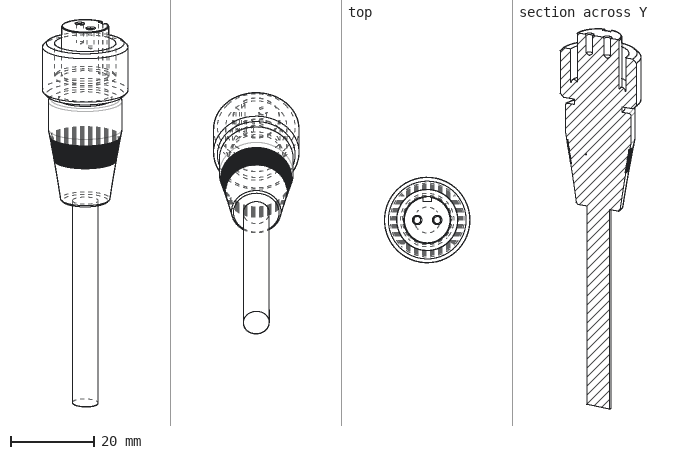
import cadquery as cq
import math

total_height = 94.4

cable_diameter = 6.2
cable_end_slant = 0.3

boot_bottom_z = 50.7
boot_bottom_radius = 5.95
boot_end_chamfer = 0.5
boot_side_sag = 0.1
boot_end_height = boot_bottom_z + boot_end_chamfer

barrel_diameter = 17.8
barrel_bottom_z = 68.6
barrel_top_z = 76.1
barrel_top_fillet = 0.6

grip_top_z = 66.8
grip_groove_count = 11
grip_pitch = 0.6
grip_groove_width = 0.3
grip_groove_depth = 0.2

neck_diameter = 12.8

nut_diameter = 20.6
nut_top_z = 90.1
nut_height = 12.75
nut_chamfer = 0.9
nut_bottom_z = nut_top_z - nut_height
bore_diameter = 14.7
bore_depth = 8.5
bore_floor_z = nut_top_z - bore_depth

nose_diameter = 11.3
nose_chamfer = 0.2
key_slot_width = 2.1
key_slot_floor_y = 4.4

seal_outer_diameter = 14.6

socket_spacing = 4.8
socket_mouth_diameter = 2.3
socket_diameter = 1.7
socket_chamfer = (socket_mouth_diameter - socket_diameter) / 2
socket_depth = 4.7
socket_tip_angle = 118.0


def disc(diameter, bottom_z, top_z):
    return cq.Workplane("XY").workplane(offset=bottom_z).circle(diameter / 2).extrude(top_z - bottom_z)


def revolve_about_z(profile):
    return profile.close().revolve(360, (0, 0, 0), (0, 1, 0))


def make_cable():
    cable = disc(cable_diameter, 0, bore_floor_z)
    radius = cable_diameter / 2
    slant_wedge = (
        cq.Workplane("XZ")
        .polyline([(-radius, 0), (radius, 0), (-radius, cable_end_slant)])
        .close()
        .extrude(radius, both=True)
    )
    return cable.cut(slant_wedge)


def boot_chord_radius(z):
    """Radius of the straight taper between the two ends of the boot side."""
    along = (z - boot_end_height) / (barrel_bottom_z - boot_end_height)
    return boot_bottom_radius + along * (barrel_diameter / 2 - boot_bottom_radius)


def make_boot():
    middle_z = (boot_end_height + barrel_bottom_z) / 2
    return revolve_about_z(
        cq.Workplane("XZ")
        .moveTo(0, boot_bottom_z)
        .lineTo(boot_bottom_radius - boot_end_chamfer, boot_bottom_z)
        .lineTo(boot_bottom_radius, boot_end_height)
        .threePointArc(
            (boot_chord_radius(middle_z) - boot_side_sag, middle_z),
            (barrel_diameter / 2, barrel_bottom_z),
        )
        .lineTo(0, barrel_bottom_z)
    )


def cut_grip_grooves(boot):
    for index in range(grip_groove_count):
        top_z = grip_top_z - index * grip_pitch
        bottom_z = top_z - grip_groove_width
        floor_radius = boot_chord_radius(bottom_z) - boot_side_sag - grip_groove_depth
        ring = disc(barrel_diameter, bottom_z, top_z).cut(disc(2 * floor_radius, bottom_z, top_z))
        boot = boot.cut(ring)
    return boot


def make_nut():
    nut = disc(nut_diameter, nut_bottom_z, nut_top_z).edges().chamfer(nut_chamfer)
    return nut.cut(disc(bore_diameter, bore_floor_z, nut_top_z))


def make_seal_ring():
    """Half-round seal at the bottom of the gap between nose and bore."""
    seal_radius = (seal_outer_diameter - nose_diameter) / 4
    return revolve_about_z(
        cq.Workplane("XZ")
        .moveTo(nose_diameter / 2, bore_floor_z)
        .threePointArc(
            (nose_diameter / 2 + seal_radius, bore_floor_z + seal_radius),
            (seal_outer_diameter / 2, bore_floor_z),
        )
    )


def make_nose():
    nose = disc(nose_diameter, bore_floor_z, total_height).faces(">Z").edges().chamfer(nose_chamfer)
    slot_length = nose_diameter / 2 - key_slot_floor_y
    nose_length = total_height - bore_floor_z
    key_slot = (
        cq.Workplane("XY")
        .box(key_slot_width, slot_length, nose_length, centered=(True, False, False))
        .translate((0, key_slot_floor_y, bore_floor_z))
    )
    return nose.cut(key_slot)


def make_socket(x):
    """Socket cavity with a chamfered mouth and a conical bottom."""
    radius = socket_diameter / 2
    mouth_radius = socket_mouth_diameter / 2
    floor_z = total_height - socket_depth
    tip_z = floor_z - radius / math.tan(math.radians(socket_tip_angle / 2))
    cavity = revolve_about_z(
        cq.Workplane("XZ").polyline([
            (0, tip_z),
            (radius, floor_z),
            (radius, total_height - socket_chamfer),
            (mouth_radius, total_height),
            (0, total_height),
        ])
    )
    return cavity.translate((x, 0, 0))


barrel = disc(barrel_diameter, barrel_bottom_z, barrel_top_z).faces(">Z").edges().fillet(barrel_top_fillet)
neck = disc(neck_diameter, barrel_top_z, nut_bottom_z)

result = (
    make_cable()
    .union(cut_grip_grooves(make_boot()))
    .union(barrel)
    .union(neck)
    .union(make_nut())
    .union(make_nose())
    .union(make_seal_ring())
)
for side in (-1, 1):
    result = result.cut(make_socket(side * socket_spacing / 2))